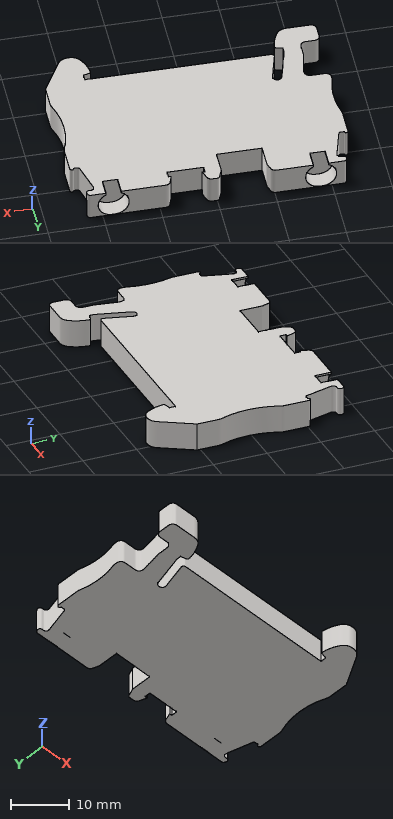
import cadquery as cq
import math

LENGTH = 48.6
HEIGHT = 35.25
THICKNESS = 5.15

LIP_TOP_X = 1.85
LIP_TIP_X = 1.42
LIP_BOTTOM_Y = 34.0
LIP_RADIUS = 0.5
NOTCH_ROOT_X = 3.25
NOTCH_ROOT_RADIUS = 0.6
NOTCH_FLOOR_Y = 27.9
NOTCH_FLOOR_RADIUS = 0.4
NOTCH_SLOPE = math.radians(15)
BEAD_TOP_Y = 28.25
BEAD_BASE_X = 0.7
BEAD_TOP_X = 0.54
BEAD_OUTER_RADIUS = 0.45
BEAD_INNER_RADIUS = 0.1

WELL_LEFT_X = 15.3
WELL_RIGHT_X = 23.25
WELL_FLOOR_Y = 29.25
WELL_SHOULDER_Y = 33.4
SHOULDER_RUN = 0.6
SHOULDER_RADIUS = 0.9
TOOTH_LEFT_RUN = 0.75
TOOTH_LEFT_RADIUS = 0.5
SNAP_LEFT_X = 26.05
SNAP_RIGHT_X = 32.45
SNAP_FLOOR_Y = 32.05
SNAP_BARB_Y = 33.2
SNAP_BARB = 0.5
SNAP_RUN = 0.7
SNAP_RADIUS = 0.9

HOLLOW_RADIUS = 15.0
HOLLOW_BLEND_RADIUS = 2.0
LEFT_HOLLOW_Y = 18.7
LEFT_HOLLOW_DEPTH = 0.63
RIGHT_HOLLOW_Y = 17.2
RIGHT_HOLLOW_DEPTH = 1.16

CORNER_RADIUS = 1.0
LEG_TOP_Y = 12.65
LEG_KNEE_X = 3.6
LEG_KNEE_Y = 7.05
LEG_SLOPE = math.radians(10)
FOOT_TOP_Y = 4.05
SLOT_SLOPE = math.radians(15)
SLOT_WIDTH = 1.57
SLOT_END_X = 9.15
SLOT_END_Y = 11.85
SLOT_CORNER_RADIUS = 0.5

SEAT_Y = 6.05
LEFT_HOOK_X = 6.72
RIGHT_HOOK_X = 41.53
HOOK_ROOT_Y = 4.92
HOOK_REACH = 1.4
HOOK_SLOPE = math.radians(15)
HOOK_TIP_RADIUS = 0.3
HOOK_FLANK_REACH = 1.18
HOOK_FLANK_Y = 2.57
HOOK_FLANK_RADIUS = 7.5
HOOK_TOE_SLOPE = math.radians(60)
TOE_RADIUS = 2.1
RIGHT_TOE_FLAT = 0.28

ENTRY_OFFSET = 18.1
ENTRY_DEPTH = 3.1
ENTRY_RADIUS = 2.45
ENTRY_FLAT = 0.5
ENTRY_NOTCH_WIDTH = 2.65


def mirrored(corners):
    """Corners reflected about the middle of the length, in reverse order."""
    return [(LENGTH - x, y, radius) for x, y, radius in reversed(corners)]


def rounded_outline(corners):
    """Closed wire through (x, y, radius) corners, each rounded by a tangent arc."""
    shortest_line = 1e-3
    edges = []
    rounds = []
    for i, (x, y, radius) in enumerate(corners):
        corner = cq.Vector(x, y)
        to_last = (cq.Vector(*corners[i - 1][:2]) - corner).normalized()
        to_next = (cq.Vector(*corners[(i + 1) % len(corners)][:2]) - corner).normalized()
        half_angle = to_last.getAngle(to_next) / 2
        setback = radius / math.tan(half_angle)
        middle_distance = radius / math.sin(half_angle) - radius
        middle = corner + (to_last + to_next).normalized() * middle_distance
        rounds.append([corner + to_last * setback, middle, corner + to_next * setback])
    for i, (start, _, _) in enumerate(rounds):
        last_end = rounds[i - 1][2]
        if (start - last_end).Length < shortest_line:
            rounds[i][0] = last_end
        else:
            edges.append(cq.Edge.makeLine(last_end, start))
        if corners[i][2] > 0:
            edges.append(cq.Edge.makeThreePointArc(*rounds[i]))
    return cq.Wire.assembleEdges(edges)


def latch_notch():
    """Left latch notch, from the bead on the side edge up to the lip on the upper edge."""
    floor_x = NOTCH_ROOT_X - (LIP_BOTTOM_Y - NOTCH_FLOOR_Y) * math.tan(NOTCH_SLOPE)
    return [
        (0, BEAD_TOP_Y, BEAD_OUTER_RADIUS),
        (BEAD_TOP_X, BEAD_TOP_Y, BEAD_INNER_RADIUS),
        (BEAD_BASE_X, NOTCH_FLOOR_Y, BEAD_INNER_RADIUS),
        (floor_x, NOTCH_FLOOR_Y, NOTCH_FLOOR_RADIUS),
        (NOTCH_ROOT_X, LIP_BOTTOM_Y, NOTCH_ROOT_RADIUS),
        (LIP_TIP_X, LIP_BOTTOM_Y, LIP_RADIUS),
        (LIP_TOP_X, HEIGHT, LIP_RADIUS),
    ]


def upper_openings():
    """Plain well, tooth and snap-in recess along the upper edge, from left to right."""
    barb_left_x = SNAP_LEFT_X + SNAP_BARB
    barb_right_x = SNAP_RIGHT_X - SNAP_BARB
    return [
        (WELL_LEFT_X - SHOULDER_RUN, HEIGHT, SHOULDER_RADIUS),
        (WELL_LEFT_X, WELL_SHOULDER_Y, 0),
        (WELL_LEFT_X, WELL_FLOOR_Y, 0),
        (WELL_RIGHT_X, WELL_FLOOR_Y, 0),
        (WELL_RIGHT_X, WELL_SHOULDER_Y, 0),
        (WELL_RIGHT_X + TOOTH_LEFT_RUN, HEIGHT, TOOTH_LEFT_RADIUS),
        (barb_left_x - SNAP_RUN, HEIGHT, SNAP_RADIUS),
        (barb_left_x, SNAP_BARB_Y, 0),
        (SNAP_LEFT_X, SNAP_BARB_Y, 0),
        (SNAP_LEFT_X, SNAP_FLOOR_Y, 0),
        (SNAP_RIGHT_X, SNAP_FLOOR_Y, 0),
        (SNAP_RIGHT_X, SNAP_BARB_Y, 0),
        (barb_right_x, SNAP_BARB_Y, 0),
        (barb_right_x + SNAP_RUN, HEIGHT, SNAP_RADIUS),
    ]


def finger_hollow(middle_y, depth):
    """Left-edge hollow, bottom to top: a large arc blended into the edge at both ends."""
    radius_sum = HOLLOW_RADIUS + HOLLOW_BLEND_RADIUS
    end_slope = math.acos(1 - depth / radius_sum)
    blend_setback = HOLLOW_BLEND_RADIUS * math.tan(end_slope / 2)
    half_height = radius_sum * math.sin(end_slope) - blend_setback
    return [
        (0, middle_y - half_height, HOLLOW_BLEND_RADIUS),
        (half_height * math.tan(end_slope), middle_y, HOLLOW_RADIUS),
        (0, middle_y + half_height, HOLLOW_BLEND_RADIUS),
    ]


def rail_hook(root_x):
    """Hook reaching to the right of root_x, from its root down to the toe on Y = 0."""
    flank_x = root_x + HOOK_FLANK_REACH
    return [
        (root_x, HOOK_ROOT_Y, 0),
        (root_x + HOOK_REACH, HOOK_ROOT_Y - HOOK_REACH * math.tan(HOOK_SLOPE), HOOK_TIP_RADIUS),
        (flank_x, HOOK_FLANK_Y, HOOK_FLANK_RADIUS),
        (flank_x - HOOK_FLANK_Y / math.tan(HOOK_TOE_SLOPE), 0, TOE_RADIUS),
    ]


def right_toe():
    """Sloping lower right corner, which shares its toe with the right hook."""
    hook_toe_x = LENGTH - rail_hook(LENGTH - RIGHT_HOOK_X)[-1][0]
    setback = TOE_RADIUS * math.tan(HOOK_TOE_SLOPE / 2)
    toe_x = hook_toe_x + RIGHT_TOE_FLAT + 2 * setback
    slope_top_y = (LENGTH - toe_x) * math.tan(HOOK_TOE_SLOPE)
    return [(LENGTH, slope_top_y, 0), (toe_x, 0, TOE_RADIUS)]


def relief_slot():
    """Slanted slot behind the spring leg, with a full round end, from the seat to the hook."""
    end_radius = SLOT_WIDTH / 2
    along = cq.Vector(math.sin(SLOT_SLOPE), math.cos(SLOT_SLOPE))
    across = cq.Vector(math.cos(SLOT_SLOPE), -math.sin(SLOT_SLOPE))
    end_middle = cq.Vector(SLOT_END_X, SLOT_END_Y) + along * end_radius
    right_end = end_middle + across * end_radius
    left_end = end_middle - across * end_radius
    seat_x = right_end.x - (right_end.y - SEAT_Y) * math.tan(SLOT_SLOPE)
    bend_y = left_end.y - (left_end.x - LEFT_HOOK_X) / math.tan(SLOT_SLOPE)
    return [
        (seat_x, SEAT_Y, SLOT_CORNER_RADIUS),
        (right_end.x, right_end.y, end_radius),
        (left_end.x, left_end.y, end_radius),
        (LEFT_HOOK_X, bend_y, 0),
    ]


def spring_foot():
    """Foot and outer side of the spring leg, from the bottom up to the left edge."""
    leg_top_x = LEG_KNEE_X + (LEG_TOP_Y - LEG_KNEE_Y) * math.tan(LEG_SLOPE)
    return [
        (0, 0, CORNER_RADIUS),
        (0, FOOT_TOP_Y, CORNER_RADIUS),
        (LEG_KNEE_X, FOOT_TOP_Y, CORNER_RADIUS),
        (LEG_KNEE_X, LEG_KNEE_Y, 0),
        (leg_top_x, LEG_TOP_Y, CORNER_RADIUS),
        (0, LEG_TOP_Y, CORNER_RADIUS),
    ]


def housing():
    """Plate with the full clockwise outline."""
    outline = (
        finger_hollow(LEFT_HOLLOW_Y, LEFT_HOLLOW_DEPTH)
        + latch_notch()
        + upper_openings()
        + mirrored(latch_notch())
        + mirrored(finger_hollow(RIGHT_HOLLOW_Y, RIGHT_HOLLOW_DEPTH))
        + right_toe()
        + mirrored(rail_hook(LENGTH - RIGHT_HOOK_X))
        + [(RIGHT_HOOK_X, SEAT_Y, 0)]
        + relief_slot()
        + rail_hook(LEFT_HOOK_X)
        + spring_foot()
    )
    face = cq.Face.makeFromWires(rounded_outline(outline))
    return cq.Workplane(cq.Solid.extrudeLinear(face, cq.Vector(0, 0, THICKNESS)))


def wire_entry(middle_x):
    """Cutter for one wire entry: an obround bore along Y and the notch above it."""
    middle_z = THICKNESS / 2
    bore = (
        cq.Workplane("XZ", origin=(middle_x, HEIGHT, middle_z))
        .slot2D(ENTRY_FLAT + 2 * ENTRY_RADIUS, 2 * ENTRY_RADIUS)
        .extrude(ENTRY_DEPTH)
    )
    notch = (
        cq.Workplane("XY", origin=(middle_x, HEIGHT - ENTRY_DEPTH / 2, middle_z))
        .rect(ENTRY_NOTCH_WIDTH, ENTRY_DEPTH)
        .extrude(THICKNESS - middle_z)
    )
    return bore.union(notch)


result = housing()
for side in (-1, 1):
    result = result.cut(wire_entry(LENGTH / 2 + side * ENTRY_OFFSET))